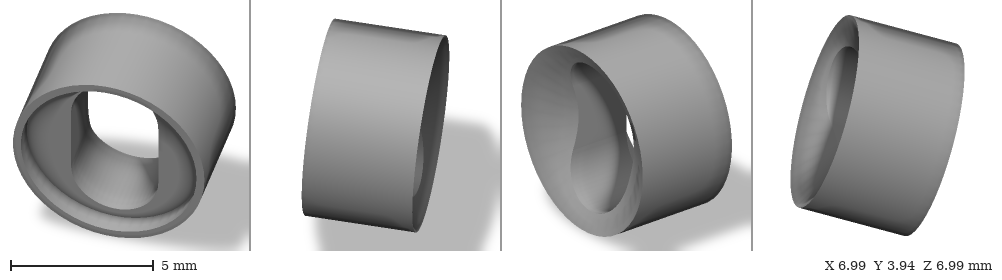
import cadquery as cq

outer_diameter = 6.99
length = 3.94
recess_diameter = 6.41
recess_depth = 0.755

seat_diameter = outer_diameter
seat_depth = length / 2

slot_width = 3.18
slot_height = 5.72


def front_end_plane():
    """XZ plane on the -Y end face, with its normal pointing out of the part."""
    return cq.Workplane("XZ", origin=(0, -length / 2, 0))


def conical_seat():
    """Solid cone with its base on the +Y end face and its apex toward -Y."""
    base_centre = cq.Vector(0, length / 2, 0)
    toward_apex = cq.Vector(0, -1, 0)
    return cq.Solid.makeCone(seat_diameter / 2, 0, seat_depth, base_centre, toward_apex)


body = front_end_plane().circle(outer_diameter / 2).extrude(-length)
recess = front_end_plane().circle(recess_diameter / 2).extrude(-recess_depth)
slot = front_end_plane().slot2D(slot_height, slot_width, 90).extrude(-length)

result = body.cut(recess).cut(slot).cut(cq.Workplane(conical_seat()))